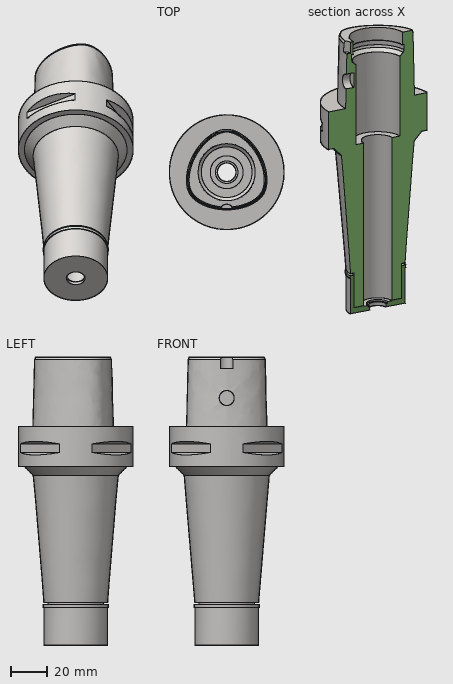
import cadquery as cq
import math

TOTAL_HEIGHT = 158.0
FLANGE_TOP = 120.1
FLANGE_BOTTOM = 98.0
CONE_BOTTOM = 93.2

FLANGE_DIAMETER = 63.0
FLANGE_RADIUS = FLANGE_DIAMETER / 2
CONE_TOP_RADIUS = 28.1
BODY_TOP_RADIUS = 23.4
BODY_BOTTOM_RADIUS = 17.5

NUT_HEIGHT = 22.5
NUT_RADIUS = BODY_BOTTOM_RADIUS
NUT_COLLAR_RADIUS = 17.9
NUT_COLLAR_HEIGHT = 1.7
NUT_GAP = 1.0
NUT_FLOOR = 3.2
NUT_HOLE_RADIUS = 5.0
NUT_STEP_RADIUS = 6.2
NUT_STEP_DEPTH = 1.0
SPIGOT_RADIUS = 15.3
BODY_BOTTOM = NUT_HEIGHT + NUT_GAP

SHANK_MEAN_RADIUS = 22.1
SHANK_LOBE = 1.5
SHANK_TAPER = 1 / 40
SHANK_CHAMFER_HEIGHT = 1.5
SHANK_CHAMFER_WIDTH = 0.6
PROFILE_POINTS = 36

MOUTH_RADIUS = 15.6
MOUTH_DEPTH = 7.6
UNDERCUT_RADIUS = 16.6
UNDERCUT_WALL_DEPTH = 10.5
UNDERCUT_DEPTH = 11.8
BORE_CONE_RADIUS = 16.1
BORE_RADIUS = 13.9
BORE_CONE_DEPTH = 13.7
BORE_FLOOR = FLANGE_BOTTOM
THROUGH_RADIUS = 9.0

NOTCH_RADIUS = 3.8
NOTCH_DEPTH = 6.3
NOTCH_CENTER_Y = -21.3
SIDE_HOLE_RADIUS = 4.1
SIDE_HOLE_HEIGHT = 135.5
SIDE_HOLE_FLOOR = 15.3

GRIP_COUNT = 4
GRIP_FIRST_ANGLE = 45
GRIP_HEIGHT = 108.0
GRIP_FLAT_DISTANCE = 27.6
GRIP_FLOOR_WIDTH = 4.6
GRIP_MOUTH_WIDTH = 7.5


def revolve_profile(points):
    """Revolve an outline of (radius, height) points about the Z axis."""
    return cq.Workplane("XZ").polyline(points).close().revolve(360, (0, 0, 0), (0, 1, 0))


def shank_wire(mean_radius, height):
    """Constant-width trilobe with one lobe pointing to +Y."""
    points = []
    for i in range(PROFILE_POINTS):
        angle = 2 * math.pi * i / PROFILE_POINTS
        reach = mean_radius + SHANK_LOBE * math.cos(3 * angle)
        slope = -3 * SHANK_LOBE * math.sin(3 * angle)
        along = reach * math.cos(angle) - slope * math.sin(angle)
        across = reach * math.sin(angle) + slope * math.cos(angle)
        points.append(cq.Vector(-across, along, height))
    return cq.Wire.assembleEdges([cq.Edge.makeSpline(points, periodic=True)])


def make_shank():
    """Tapered trilobe with a chamfered upper rim."""
    chamfer_start = TOTAL_HEIGHT - SHANK_CHAMFER_HEIGHT
    upper_radius = SHANK_MEAN_RADIUS - SHANK_TAPER * (chamfer_start - FLANGE_TOP)
    base = shank_wire(SHANK_MEAN_RADIUS, FLANGE_TOP)
    shoulder = shank_wire(upper_radius, chamfer_start)
    rim = shank_wire(upper_radius - SHANK_CHAMFER_WIDTH, TOTAL_HEIGHT)
    taper = cq.Solid.makeLoft([base, shoulder], True)
    chamfer = cq.Solid.makeLoft([shoulder, rim], True)
    return cq.Workplane(taper).union(cq.Workplane(chamfer))


def make_bore():
    """Stepped bore with an undercut groove below its mouth."""
    return revolve_profile([
        (0, NUT_FLOOR),
        (THROUGH_RADIUS, NUT_FLOOR),
        (THROUGH_RADIUS, BORE_FLOOR),
        (BORE_RADIUS, BORE_FLOOR),
        (BORE_RADIUS, TOTAL_HEIGHT - BORE_CONE_DEPTH),
        (BORE_CONE_RADIUS, TOTAL_HEIGHT - UNDERCUT_DEPTH),
        (UNDERCUT_RADIUS, TOTAL_HEIGHT - UNDERCUT_WALL_DEPTH),
        (UNDERCUT_RADIUS, TOTAL_HEIGHT - MOUTH_DEPTH),
        (MOUTH_RADIUS, TOTAL_HEIGHT - MOUTH_DEPTH),
        (MOUTH_RADIUS, TOTAL_HEIGHT),
        (0, TOTAL_HEIGHT),
    ])


def make_grip_notch(angle):
    """Straight notch across the flange rim, widening outward."""
    floor = GRIP_FLOOR_WIDTH / 2
    mouth = GRIP_MOUTH_WIDTH / 2
    return (
        cq.Workplane("XZ")
        .polyline([
            (GRIP_FLAT_DISTANCE, GRIP_HEIGHT - floor),
            (FLANGE_RADIUS, GRIP_HEIGHT - mouth),
            (FLANGE_RADIUS, GRIP_HEIGHT + mouth),
            (GRIP_FLAT_DISTANCE, GRIP_HEIGHT + floor),
        ])
        .close()
        .extrude(FLANGE_RADIUS, both=True)
        .rotate((0, 0, 0), (0, 0, 1), angle)
    )


def make_holder():
    """Shank, flange, tapered body and spigot as one solid."""
    body = revolve_profile([
        (0, NUT_FLOOR),
        (SPIGOT_RADIUS, NUT_FLOOR),
        (SPIGOT_RADIUS, BODY_BOTTOM),
        (BODY_BOTTOM_RADIUS, BODY_BOTTOM),
        (BODY_TOP_RADIUS, CONE_BOTTOM),
        (CONE_TOP_RADIUS, FLANGE_BOTTOM),
        (FLANGE_RADIUS, FLANGE_BOTTOM),
        (FLANGE_RADIUS, FLANGE_TOP),
        (0, FLANGE_TOP),
    ])
    holder = body.union(make_shank()).cut(make_bore())

    notch = (
        cq.Workplane("XY", origin=(0, NOTCH_CENTER_Y, TOTAL_HEIGHT - NOTCH_DEPTH))
        .circle(NOTCH_RADIUS)
        .extrude(NOTCH_DEPTH)
    )
    side_hole = (
        cq.Workplane("XZ", origin=(0, -SIDE_HOLE_FLOOR, SIDE_HOLE_HEIGHT))
        .circle(SIDE_HOLE_RADIUS)
        .extrude(FLANGE_RADIUS - SIDE_HOLE_FLOOR)
    )
    holder = holder.cut(notch).cut(side_hole)

    for i in range(GRIP_COUNT):
        holder = holder.cut(make_grip_notch(GRIP_FIRST_ANGLE + i * 360 / GRIP_COUNT))
    return holder


def make_nut():
    """Cup-shaped nut with a collar at its upper edge and a stepped hole."""
    collar_bottom = NUT_HEIGHT - NUT_COLLAR_HEIGHT
    step_floor = NUT_FLOOR - NUT_STEP_DEPTH
    return revolve_profile([
        (NUT_HOLE_RADIUS, 0),
        (NUT_RADIUS, 0),
        (NUT_RADIUS, collar_bottom),
        (NUT_COLLAR_RADIUS, collar_bottom),
        (NUT_COLLAR_RADIUS, NUT_HEIGHT),
        (SPIGOT_RADIUS, NUT_HEIGHT),
        (SPIGOT_RADIUS, NUT_FLOOR),
        (NUT_STEP_RADIUS, NUT_FLOOR),
        (NUT_STEP_RADIUS, step_floor),
        (NUT_HOLE_RADIUS, step_floor),
    ])


holder = make_holder()
nut = make_nut()
result = cq.Compound.makeCompound([holder.val(), nut.val()])